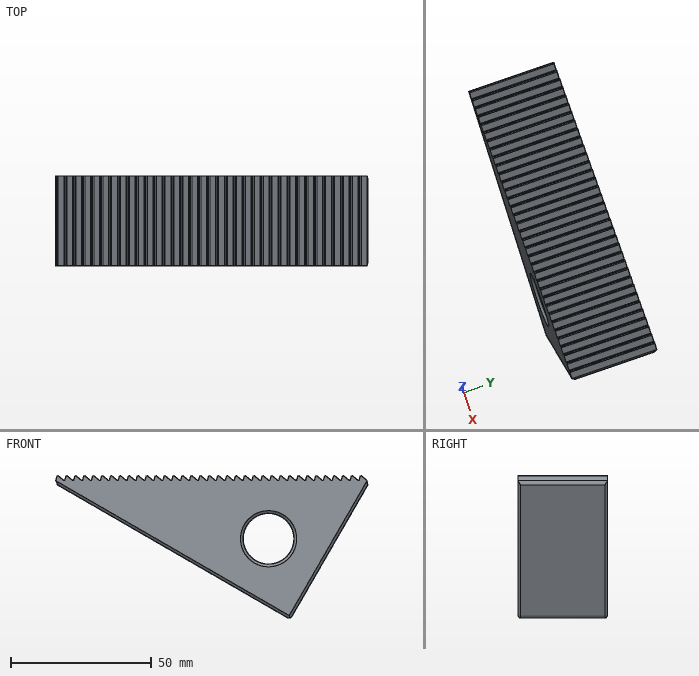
import cadquery as cq
import math

LENGTH = 111.1
WIDTH = 32.0
HEIGHT = 50.7
EDGE_CHAMFER = 1.0

LONG_FLANK_ANGLE = math.radians(30)
SHORT_FLANK_ANGLE = math.radians(60)
FLANK_TOP_Z = -3.3

NOSE_Z = -1.7
LONG_FLANK_START_X = 0.7

TOOTH_COUNT = 35
TOOTH_PITCH = LENGTH / TOOTH_COUNT
TOOTH_DEPTH = 1.7
STEEP_FACE_RUN = 0.5
CREST_RUN = 0.5
CREST_DROP = 0.1
SLOPE_RUN = 2.0

HOLE_DIAMETER = 18.0
HOLE_X = 75.8
HOLE_Z = -22.5


def tooth_points():
    """Toothed edge from left to right; the first tooth's steep face runs down to the nose instead."""
    points = []
    for index in range(TOOTH_COUNT):
        tooth_start = index * TOOTH_PITCH
        crest_start = tooth_start + STEEP_FACE_RUN
        crest_end = crest_start + CREST_RUN
        if index > 0:
            points.append((tooth_start, -TOOTH_DEPTH))
        points.append((crest_start, -CREST_DROP))
        points.append((crest_end, 0))
        points.append((crest_end + SLOPE_RUN, -TOOTH_DEPTH))
    return points


def sharp_corner(flank_span):
    """Point where the two flanks would meet, from the distance between their upper ends."""
    long_flank = flank_span * math.sin(SHORT_FLANK_ANGLE)
    return (
        LONG_FLANK_START_X + long_flank * math.cos(LONG_FLANK_ANGLE),
        FLANK_TOP_Z - long_flank * math.sin(LONG_FLANK_ANGLE),
    )


def make_wedge():
    """Toothed wedge with its flanks running on to a sharp lower corner."""
    nose = (0, NOSE_Z)
    long_flank_top = (LONG_FLANK_START_X, FLANK_TOP_Z)
    short_flank_top = (LENGTH, FLANK_TOP_Z)
    lower_corner = sharp_corner(LENGTH - LONG_FLANK_START_X)
    outline = [nose] + tooth_points() + [short_flank_top, lower_corner, long_flank_top]
    return cq.Workplane("XZ").polyline(outline).close().extrude(WIDTH / 2, both=True)


def chamfer_flanks(body):
    """Chamfer the flank edges of both side faces, whose middles lie far below the teeth."""
    side_edges = body.faces("<Y or >Y").edges().vals()
    flank_edges = [edge for edge in side_edges if edge.Center().z < -HEIGHT / 4]
    return body.newObject(flank_edges).chamfer(EDGE_CHAMFER)


def round_lower_corner(body):
    """Round the short lower edge where the two flanks meet, so that the part ends at its full height."""
    corner_x, corner_z = sharp_corner(LENGTH - LONG_FLANK_START_X)
    overshoot = -corner_z - HEIGHT
    centre_rise = math.cos(LONG_FLANK_ANGLE) + math.cos(SHORT_FLANK_ANGLE)
    corner_radius = overshoot / (centre_rise - 1)
    corner_edge = cq.selectors.NearestToPointSelector((corner_x, 0, corner_z))
    return body.edges(corner_edge).fillet(corner_radius)


def drill_hole(body):
    """Through hole with a chamfer at each mouth."""
    bore = (
        cq.Workplane("XZ", origin=(HOLE_X, 0, HOLE_Z))
        .circle(HOLE_DIAMETER / 2)
        .extrude(WIDTH, both=True)
    )
    return body.cut(bore).edges("%CIRCLE").chamfer(EDGE_CHAMFER)


result = drill_hole(round_lower_corner(chamfer_flanks(make_wedge())))